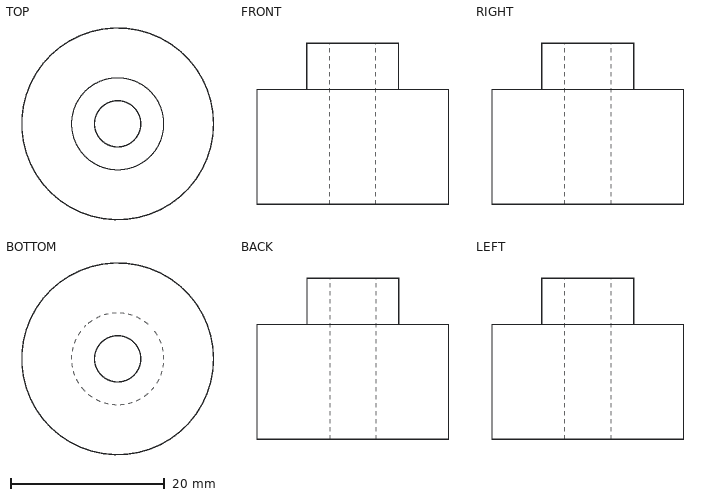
import cadquery as cq

body_diameter = 25.0
body_height = 15.0
boss_diameter = 12.0
boss_height = 6.0
bore_diameter = 6.0

body = cq.Workplane("XY").circle(body_diameter / 2).extrude(body_height)

stepped_body = body.faces(">Z").workplane().circle(boss_diameter / 2).extrude(boss_height)

result = stepped_body.faces(">Z").workplane().hole(bore_diameter)